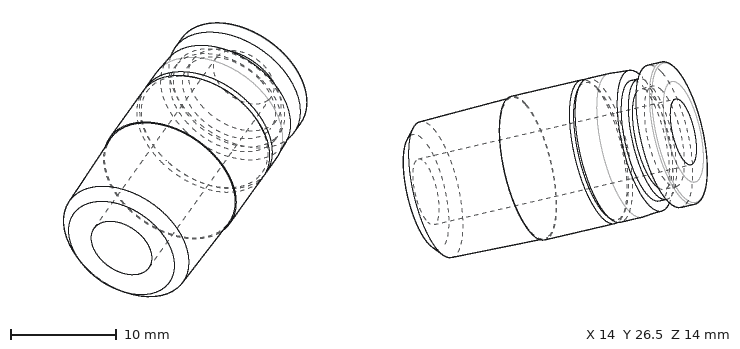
import cadquery as cq

length = 26.45
body_radius = 14.0 / 2
bore_radius = 3.2

nose_radius = 5.58
nose_chamfer_length = 1.0
taper_small_radius = 6.6
taper_large_radius = 6.88
taper_end = 10.47

groove_start = 17.7
groove_width = 0.58
groove_depth = 0.32

shoulder_start = 20.5
shoulder_end = 22.54
shoulder_radius = 6.85

collar_end = 23.28
collar_radius = 5.87
neck_end = 24.5
neck_radius = 4.9

button_radius = 6.93
button_cone_height = 0.42
button_face_radius = 4.9
button_edge_fillet = 0.19


def cylinder(radius, start, end):
    """Cylinder on the Y axis between two stations."""
    return cq.Workplane("XZ", origin=(0, start, 0)).circle(radius).extrude(start - end)


def cone(start_radius, end_radius, start, end):
    """Truncated cone on the Y axis between two stations."""
    profile = [(0, start), (start_radius, start), (end_radius, end), (0, end)]
    return cq.Workplane("XY").polyline(profile).close().revolve(360, (0, 0), (0, 1))


def make_body():
    nose = cone(nose_radius, taper_small_radius, 0, nose_chamfer_length)
    taper = cone(taper_small_radius, taper_large_radius, nose_chamfer_length, taper_end)
    barrel = cylinder(body_radius, taper_end, shoulder_start)
    shoulder = cone(body_radius, shoulder_radius, shoulder_start, shoulder_end)
    return nose.union(taper).union(barrel).union(shoulder)


def make_groove():
    profile = [
        (body_radius, groove_start),
        (body_radius - groove_depth, groove_start + groove_width / 2),
        (body_radius, groove_start + groove_width),
    ]
    return cq.Workplane("XY").polyline(profile).close().revolve(360, (0, 0), (0, 1))


def make_button():
    cone_start = length - button_cone_height
    flange = cylinder(button_radius, neck_end, cone_start)
    end_cone = cone(button_radius, button_face_radius, cone_start, length)
    rim = cq.selectors.NearestToPointSelector((0, cone_start, 0))
    return flange.union(end_cone).edges(rim).fillet(button_edge_fillet)


collar = cylinder(collar_radius, shoulder_end, collar_end)
neck = cylinder(neck_radius, collar_end, neck_end)
bore = cylinder(bore_radius, 0, length)

outside = make_body().cut(make_groove()).union(collar).union(neck).union(make_button())
result = outside.cut(bore).translate((0, -length / 2, 0))